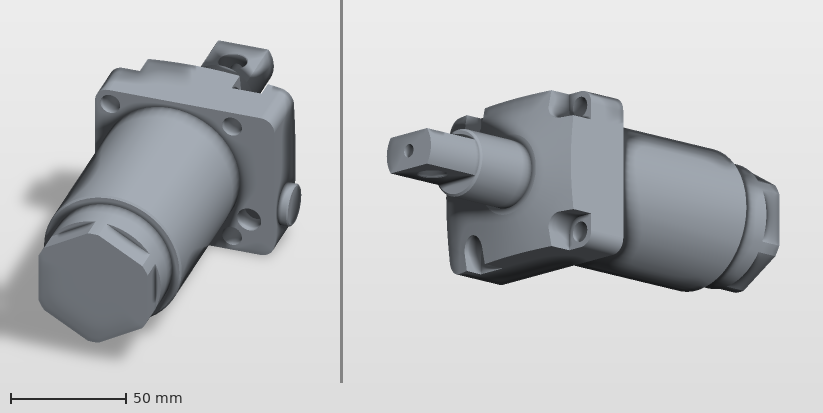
import cadquery as cq
import math


overall_length = 197.0
rear_length = 102.2
front_length = overall_length - rear_length

flange_height = 70.0
flange_width = 82.3
flange_left = -flange_height / 2
flange_right = flange_left + flange_width
flange_front = 35.9
flange_corner_radius = 6.3
crown_flat_radius = 17.7
crown_slope = math.radians(15)

bolt_offset = 28.0
bolt_hole_diameter = 9.0
recess_radius = 6.9
recess_floor = 19.1

port_x = 35.9
port_z = -18.0
port_diameter = 11.0
port_depth = 9.8

barrel_diameter = 63.2
barrel_length = 77.2
barrel_chamfer = 0.8
neck_diameter = 55.2
hex_across_flats = 50.0
hex_length = 10.0
hex_sides = 6
hex_half_angle = 180 / hex_sides

rod_diameter = 30.0
rod_shoulder = 66.0
rod_chamfer = 1.0
tip_diameter = rod_diameter - 2 * rod_chamfer
tip_thickness = 16.0
flat_root_radius = 0.5
pin_hole_diameter = 12.5
pin_hole_chamfer = 0.4
pin_hole_setback = 14.0
tip_screw_diameter = 6.0

plug_diameter = 19.0
plug_length = 4.5
plug_chamfer = 0.5
plug_y = 13.5
plug_z = -15.4


def cylinder_along_y(diameter, y_start, y_end, x=0.0, z=0.0):
    """Cylinder parallel to Y between two Y positions."""
    axis_start = cq.Vector(x, y_start, z)
    solid = cq.Solid.makeCylinder(diameter / 2, y_end - y_start, axis_start, cq.Vector(0, 1, 0))
    return cq.Workplane(obj=solid)


def box_between(x_range, y_range, z_range):
    """Axis-aligned box given by its limits along X, Y and Z."""
    ranges = (x_range, y_range, z_range)
    sizes = [max(limits) - min(limits) for limits in ranges]
    corner = tuple(min(limits) for limits in ranges)
    return cq.Workplane().box(*sizes, centered=False).translate(corner)


def make_flange():
    """Rounded rectangular flange whose front is a shallow cone around the rod."""
    block = box_between(
        (flange_left, flange_right),
        (0, flange_front),
        (-flange_height / 2, flange_height / 2),
    ).edges("|Y").fillet(flange_corner_radius)

    crown_radius = math.hypot(flange_right, flange_height / 2)
    crown_drop = (crown_radius - crown_flat_radius) * math.tan(crown_slope)
    crown = (
        cq.Workplane("XY")
        .moveTo(0, 0)
        .lineTo(crown_radius, 0)
        .lineTo(crown_radius, flange_front - crown_drop)
        .lineTo(crown_flat_radius, flange_front)
        .lineTo(0, flange_front)
        .close()
        .revolve(360, (0, 0, 0), (0, 1, 0))
    )
    return block.intersect(crown)


def make_bolt_recess(side_x, side_z):
    """Round bolt-head recess, open to the top or bottom edge and, on the -X side, to that edge too."""
    hole_x = side_x * bolt_offset
    hole_z = side_z * bolt_offset
    edge_z = side_z * flange_height / 2
    depth = (recess_floor, flange_front)

    recess = cylinder_along_y(2 * recess_radius, *depth, x=hole_x, z=hole_z)
    recess = recess.union(
        box_between((hole_x - recess_radius, hole_x + recess_radius), depth, (hole_z, edge_z))
    )
    if side_x < 0:
        inner_z = hole_z - side_z * recess_radius
        recess = recess.union(box_between((flange_left, hole_x), depth, (inner_z, edge_z)))
        recess = recess.union(box_between((flange_left, hole_x + recess_radius), depth, (hole_z, edge_z)))
    return recess


def make_rear_end():
    """Threaded barrel, reduced neck and the hexagon cut into the neck's end."""
    barrel = cylinder_along_y(barrel_diameter, -barrel_length, 0).faces("<Y").chamfer(barrel_chamfer)
    hex_start = -rear_length + hex_length
    neck = cylinder_along_y(neck_diameter, hex_start, -barrel_length)

    hex_corner_diameter = hex_across_flats / math.cos(math.radians(hex_half_angle))
    hexagon = (
        cq.Workplane("XZ", origin=(0, hex_start, 0))
        .transformed(rotate=(0, 0, hex_half_angle))
        .polygon(hex_sides, hex_corner_diameter)
        .extrude(hex_length)
    )
    hexagon = hexagon.intersect(cylinder_along_y(neck_diameter, -rear_length, hex_start))
    return barrel.union(neck).union(hexagon)


def make_housing():
    """Flange, barrel and hexagonal end in one solid, with bolt holes and the oil port."""
    housing = make_flange().union(make_rear_end())
    for side_x in (-1, 1):
        for side_z in (-1, 1):
            housing = housing.cut(make_bolt_recess(side_x, side_z))
            bolt_hole = cylinder_along_y(
                bolt_hole_diameter, 0, flange_front, x=side_x * bolt_offset, z=side_z * bolt_offset
            )
            housing = housing.cut(bolt_hole)
    return housing.cut(cylinder_along_y(port_diameter, 0, port_depth, x=port_x, z=port_z))


def make_rod_tip():
    """Tip with two flats rounded into the shoulder, a chamfered cross hole and a screw hole from the end."""
    tip = cylinder_along_y(tip_diameter, rod_shoulder, front_length)
    upper_flat_cut = box_between(
        (-tip_diameter / 2, tip_diameter / 2),
        (rod_shoulder, front_length),
        (tip_thickness / 2, tip_diameter / 2),
    ).edges("|X and <Y and <Z").fillet(flat_root_radius)
    tip = tip.cut(upper_flat_cut).cut(upper_flat_cut.mirror("XY"))

    pin_hole_y = front_length - pin_hole_setback
    pin_hole = cq.Workplane("XY", origin=(0, pin_hole_y, 0)).circle(pin_hole_diameter / 2)
    tip = tip.cut(pin_hole.extrude(tip_thickness, both=True))
    tip = tip.faces("|Z").edges("%CIRCLE").chamfer(pin_hole_chamfer)
    return tip.cut(cylinder_along_y(tip_screw_diameter, pin_hole_y, front_length))


def make_rod():
    """Round rod standing on the flange crown, with its flattened tip."""
    shaft = cylinder_along_y(rod_diameter, flange_front, rod_shoulder).faces(">Y").chamfer(rod_chamfer)
    return shaft.union(make_rod_tip())


def make_plug():
    """Round plug seated on the +X side of the flange."""
    return (
        cq.Workplane("YZ", origin=(flange_right, plug_y, plug_z))
        .circle(plug_diameter / 2)
        .extrude(plug_length)
        .faces(">X")
        .chamfer(plug_chamfer)
    )


housing = make_housing()
rod = make_rod()
plug = make_plug()

result = cq.Compound.makeCompound([housing.val(), rod.val(), plug.val()])